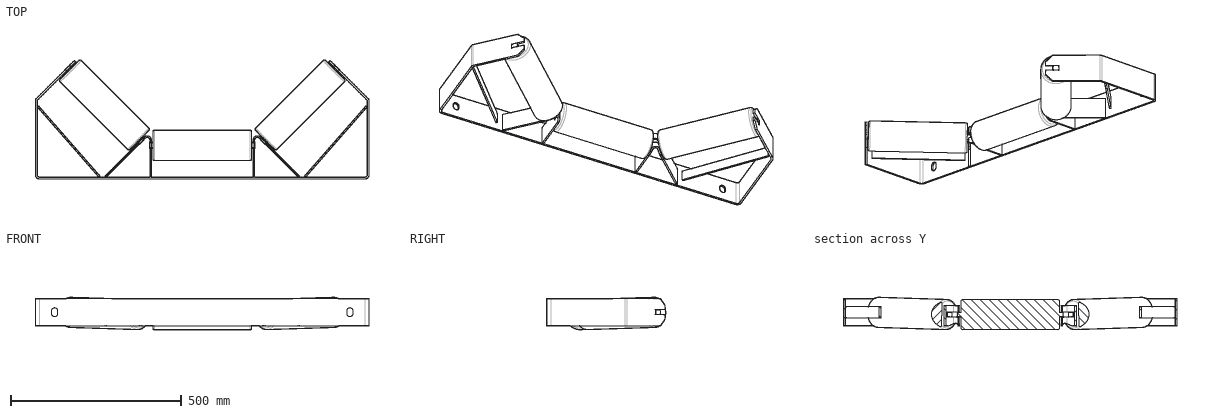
import cadquery as cq
import math

FRAME_LENGTH = 980.0
FRAME_HEIGHT = 80.0
FRAME_THICKNESS = 6.0
SHOULDER_Y = 233.0
ARM_RISE = 115.0
ARM_ANGLE = 45.0
BASE_BEND_RADIUS = 13.0
SHOULDER_BEND_RADIUS = 9.0
ARM_TIP_CHAMFER = 20.0
MOUNT_HOLE_SPACING = 866.0
MOUNT_HOLE_WIDTH = 18.0
MOUNT_HOLE_HEIGHT = 26.0

ROLLER_DIAMETER = 89.0
ROLLER_LENGTH = 290.0
ROLLER_EDGE_RADIUS = 5.0
SHAFT_DIAMETER = 20.0
SHAFT_ACROSS_FLATS = 14.0
SHAFT_LENGTH = 310.0
CENTRE_ROLLER_Y = 99.0
SIDE_ROLLER_X = 287.0
SIDE_ROLLER_Y = 218.0
ROLLER_DROP = 7.1

BRACKET_THICKNESS = 5.0
BRACKET_HEIGHT = 60.0
BRACKET_BEND_RADIUS = 13.0
BRACKET_FACE_X = 149.0
BRACKET_LEG_GAP = 4.0
BRACKET_CHAMFER_RUN = 21.0
BRACKET_CHAMFER_RISE = 10.0

SLOT_WIDTH = 15.0
SLOT_CUT_LENGTH = 29.0

STRUT_THICKNESS = 5.0
STRUT_HEIGHT = 33.0
STRUT_FOOT_X = 304.0
STRUT_HEAD_Y = 212.0

HALF_LENGTH = FRAME_LENGTH / 2
FRAME_BOTTOM = -FRAME_HEIGHT / 2
SHAFT_RADIUS = SHAFT_DIAMETER / 2


def offset_path(points, distance):
    """Shift an open path to its left by a distance, with mitred corners."""
    headings = [math.atan2(b[1] - a[1], b[0] - a[0]) for a, b in zip(points, points[1:])]
    arriving = headings[:1] + headings
    leaving = headings + headings[-1:]
    shifted = []
    for (x, y), before, after in zip(points, arriving, leaving):
        normal = (before + after) / 2 + math.pi / 2
        reach = distance / math.cos((after - before) / 2)
        shifted.append((x + reach * math.cos(normal), y + reach * math.sin(normal)))
    return shifted


def bent_strip(points, bend_radii, thickness, bottom, height):
    """Plate on edge: outer face along the points, thickness to the left, inner corners rounded."""
    inner = offset_path(points, thickness)
    outline = points + inner[::-1]
    strip = cq.Workplane("XY").workplane(offset=bottom).polyline(outline).close().extrude(height)
    middle = bottom + height / 2
    for outer_corner, inner_corner, radius in zip(points[1:-1], inner[1:-1], bend_radii):
        for (x, y), corner_radius in ((outer_corner, radius), (inner_corner, radius - thickness)):
            corner_edge = cq.selectors.NearestToPointSelector((x, y, middle))
            strip = strip.edges(corner_edge).fillet(corner_radius)
    return strip


def mirrored_pair(body):
    return [body, body.mirror("YZ")]


def on_side_axis(axial):
    """XY point on the left roller's axis, measured inwards from the roller's middle."""
    x = -SIDE_ROLLER_X + axial * math.sin(math.radians(ARM_ANGLE))
    y = SIDE_ROLLER_Y - axial * math.cos(math.radians(ARM_ANGLE))
    return (x, y)


def side_slot(axial, reach_up, slot_z):
    """Cutter for a slot seating the left roller's shaft, reaching up along the plate from its axis."""
    x, y = on_side_axis(axial)
    return (
        cq.Workplane("XY")
        .box(SLOT_CUT_LENGTH, reach_up + SHAFT_RADIUS, SLOT_WIDTH)
        .translate((0, (reach_up - SHAFT_RADIUS) / 2, slot_z))
        .rotate((0, 0, 0), (0, 0, 1), ARM_ANGLE - 90)
        .translate((x, y, 0))
    )


def make_frame():
    arm_run = ARM_RISE / math.tan(math.radians(ARM_ANGLE))
    left_half = [
        (-HALF_LENGTH + arm_run, SHOULDER_Y + ARM_RISE),
        (-HALF_LENGTH, SHOULDER_Y),
        (-HALF_LENGTH, 0),
    ]
    right_half = [(-x, y) for x, y in left_half[::-1]]
    radii = [SHOULDER_BEND_RADIUS, BASE_BEND_RADIUS, BASE_BEND_RADIUS, SHOULDER_BEND_RADIUS]
    outline = left_half + right_half
    frame = bent_strip(outline, radii, FRAME_THICKNESS, FRAME_BOTTOM, FRAME_HEIGHT)

    mid_wall = offset_path(outline, FRAME_THICKNESS / 2)
    for x, y in (mid_wall[0], mid_wall[-1]):
        for z in (FRAME_BOTTOM, FRAME_BOTTOM + FRAME_HEIGHT):
            tip_edge = cq.selectors.NearestToPointSelector((x, y, z))
            frame = frame.edges(tip_edge).chamfer(ARM_TIP_CHAMFER)

    for slot in mirrored_pair(side_slot(-SHAFT_LENGTH / 2, ARM_RISE, 0)):
        frame = frame.cut(slot)

    holes = (
        cq.Workplane("XZ")
        .pushPoints([(-MOUNT_HOLE_SPACING / 2, 0), (MOUNT_HOLE_SPACING / 2, 0)])
        .slot2D(MOUNT_HOLE_HEIGHT, MOUNT_HOLE_WIDTH, 90)
        .extrude(-FRAME_THICKNESS)
    )
    return frame.cut(holes)


def make_bracket():
    leg_x, leg_y = on_side_axis(ROLLER_LENGTH / 2 + BRACKET_LEG_GAP)
    slope = math.tan(math.radians(ARM_ANGLE))
    bend_y = leg_y + (-BRACKET_FACE_X - leg_x) * slope
    foot_lift = BRACKET_THICKNESS * math.cos(math.radians(ARM_ANGLE))
    foot_y = FRAME_THICKNESS + foot_lift
    foot_x = leg_x - (leg_y - foot_y) / slope
    face = [(-BRACKET_FACE_X, FRAME_THICKNESS), (-BRACKET_FACE_X, bend_y), (foot_x, foot_y)]
    bracket = bent_strip(face, [BRACKET_BEND_RADIUS], BRACKET_THICKNESS, FRAME_BOTTOM, BRACKET_HEIGHT)

    top_y = bracket.val().BoundingBox().ymax
    chamfer = (
        cq.Workplane("YZ")
        .polyline([
            (top_y, FRAME_BOTTOM),
            (top_y - BRACKET_CHAMFER_RUN, FRAME_BOTTOM),
            (top_y, FRAME_BOTTOM + BRACKET_CHAMFER_RISE),
        ])
        .close()
        .extrude(-HALF_LENGTH)
    )
    slot_bottom = CENTRE_ROLLER_Y - SHAFT_RADIUS
    centre_slot = (
        cq.Workplane("XY")
        .box(SLOT_CUT_LENGTH, bend_y - slot_bottom, SLOT_WIDTH)
        .translate((-BRACKET_FACE_X, (bend_y + slot_bottom) / 2, -ROLLER_DROP))
    )
    leg_slot = side_slot(ROLLER_LENGTH / 2 + BRACKET_LEG_GAP, ROLLER_DIAMETER, -ROLLER_DROP)
    return bracket.cut(chamfer).cut(centre_slot).cut(leg_slot)


def make_strut():
    foot = (-STRUT_FOOT_X, FRAME_THICKNESS)
    head = (-HALF_LENGTH + FRAME_THICKNESS, STRUT_HEAD_Y)
    return bent_strip([head, foot], [], STRUT_THICKNESS, -STRUT_HEIGHT / 2, STRUT_HEIGHT)


def cylinder_along_x(diameter, length):
    return cq.Workplane("YZ").workplane(offset=-length / 2).circle(diameter / 2).extrude(length)


def make_roller():
    """Roller along X with its middle at the origin."""
    shell = cylinder_along_x(ROLLER_DIAMETER, ROLLER_LENGTH).edges().fillet(ROLLER_EDGE_RADIUS)
    flats = cq.Workplane("XY").box(SHAFT_LENGTH, SHAFT_DIAMETER, SHAFT_ACROSS_FLATS)
    shaft = cylinder_along_x(SHAFT_DIAMETER, SHAFT_LENGTH).intersect(flats)
    return shell.union(shaft)


def make_side_roller():
    tilt = math.degrees(math.asin(ROLLER_DROP / SHAFT_LENGTH))
    return (
        make_roller()
        .rotate((0, 0, 0), (0, 1, 0), tilt)
        .rotate((0, 0, 0), (0, 0, 1), ARM_ANGLE - 90)
        .translate((-SIDE_ROLLER_X, SIDE_ROLLER_Y, -ROLLER_DROP / 2))
    )


frame = make_frame()
brackets = mirrored_pair(make_bracket())
struts = mirrored_pair(make_strut())
centre_roller = make_roller().translate((0, CENTRE_ROLLER_Y, -ROLLER_DROP))
side_rollers = mirrored_pair(make_side_roller())

bodies = [frame, *brackets, *struts, centre_roller, *side_rollers]
result = cq.Compound.makeCompound([body.val() for body in bodies])